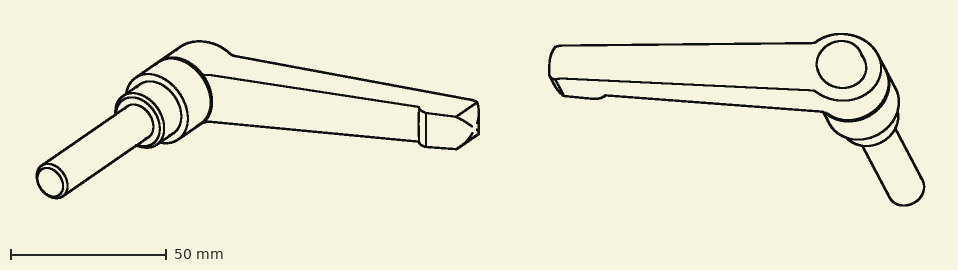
import cadquery as cq
import math


stud_radius = 6.0
stud_chamfer = 1.0
collar_radius = 9.5
collar_bottom = 50.0
collar_chamfer = 1.0
hub_diameter = 24.1
hub_radius = hub_diameter / 2
hub_bottom = 60.8
groove_bottom = 73.9
groove_width = 0.7
groove_depth = 0.1
button_radius = 7.5
button_top = 93.2
button_rounding = 0.8

top_angle = math.radians(15.9)
top_height_at_hub_edge = 85.2

overall_reach = 104.1
arm_root_x = 5.7
under_angle = math.radians(19.5)
notch_x = 75.5
notch_y = 99.3
heel_x = 79.6
heel_y = 97.3
notch_bulge = 0.5
top_end_x = 85.0
tip_start_x = 88.8
tip_end_x = overall_reach - hub_radius
tip_top_y = 113.4
tip_middle_y = 107.7
tip_bottom_y = 101.0
tip_shoulder_y = 113.0

root_width = 17.3
root_half_width = root_width / 2
tip_half_width = 5.9

ridge_depth = 0.5

root_fillet = 2.3

top_allowance = 6.8
match_tolerance = 0.01


def top_y(x):
    """Height of the sloping top at a given X."""
    return top_height_at_hub_edge + (x + hub_radius) * math.tan(top_angle)


def under_y(x):
    """Height of the arm's underside at a given X."""
    return notch_y - (notch_x - x) * math.tan(under_angle)


def turned(radius, bottom, top):
    """Cylinder on the clamping axis, with its seam on the side away from the arm."""
    cylinder = cq.Workplane("XZ", origin=(0, bottom, 0)).circle(radius).extrude(bottom - top)
    return cylinder.rotate((0, 0, 0), (0, 1, 0), 180)


def make_top_cut():
    """Block covering everything above the sloping top."""
    return (
        cq.Workplane("XY")
        .moveTo(-2 * hub_radius, top_y(-2 * hub_radius))
        .lineTo(top_end_x, top_y(top_end_x))
        .lineTo(top_end_x, top_y(top_end_x) + 2 * top_allowance)
        .lineTo(-2 * hub_radius, top_y(top_end_x) + 2 * top_allowance)
        .close()
        .extrude(2 * hub_radius, both=True)
    )


def make_ridge():
    """Triangular prism laid along the underside, from the root to the notch."""
    along = (math.cos(under_angle), math.sin(under_angle), 0)
    section = cq.Plane(
        origin=(arm_root_x, under_y(arm_root_x), 0), xDir=(0, 0, 1), normal=along
    )
    length = (notch_x - arm_root_x) / math.cos(under_angle)
    return (
        cq.Workplane(section)
        .moveTo(-root_half_width, -ridge_depth)
        .lineTo(-root_half_width, 0)
        .lineTo(0, ridge_depth)
        .lineTo(root_half_width, 0)
        .lineTo(root_half_width, -ridge_depth)
        .close()
        .extrude(length)
    )


def make_arm():
    """Arm outline with its ridge, trimmed to the tapering width."""
    notch_middle = ((notch_x + heel_x) / 2 - notch_bulge, (notch_y + heel_y) / 2 - notch_bulge)
    side_outline = (
        cq.Workplane("XY")
        .moveTo(arm_root_x, under_y(arm_root_x))
        .lineTo(notch_x, notch_y)
        .threePointArc(notch_middle, (heel_x, heel_y))
        .lineTo(tip_start_x, tip_bottom_y)
        .threePointArc((tip_end_x, tip_middle_y), (tip_start_x, tip_shoulder_y))
        .threePointArc(((top_end_x + tip_start_x) / 2, tip_top_y), (top_end_x, top_y(top_end_x)))
        .lineTo(top_end_x, top_y(top_end_x) + top_allowance / 2)
        .lineTo(arm_root_x, top_y(arm_root_x) + top_allowance / 2)
        .close()
        .extrude(root_half_width, both=True)
    )
    width_outline = (
        cq.Workplane("XZ")
        .moveTo(arm_root_x, -root_half_width)
        .lineTo(tip_start_x, -tip_half_width)
        .threePointArc((tip_end_x, 0), (tip_start_x, tip_half_width))
        .lineTo(arm_root_x, root_half_width)
        .close()
        .extrude(-2 * tip_top_y)
    )
    return side_outline.union(make_ridge()).intersect(width_outline)


def make_groove():
    """Ring removed where the lever part of the hub meets its sleeve."""
    groove_top = groove_bottom + groove_width
    outer = turned(2 * hub_radius, groove_bottom, groove_top)
    return outer.cut(turned(hub_radius - groove_depth, groove_bottom, groove_top))


def on_root(edge):
    """True for edges where the arm's sides and underside meet the hub."""
    points = [edge.positionAt(t) for t in (0, 0.5, 1)]
    radii = [math.hypot(p.x, p.z) for p in points]
    on_cylinder = all(math.isclose(r, hub_radius, abs_tol=match_tolerance) for r in radii)
    right_side = all(p.x > arm_root_x for p in points)
    below_hub_end = edge.Center().y < top_y(hub_radius)
    return on_cylinder and below_hub_end and right_side


hub = turned(hub_radius, hub_bottom, top_y(hub_radius) + top_allowance)
lever = hub.union(make_arm())
root_edges = [edge for edge in lever.edges().vals() if on_root(edge)]
lever = lever.newObject(root_edges).fillet(root_fillet).cut(make_top_cut()).cut(make_groove())

stud = turned(stud_radius, 0, hub_bottom).faces("<Y").chamfer(stud_chamfer)
collar = turned(collar_radius, collar_bottom, hub_bottom).faces("<Y").chamfer(collar_chamfer)
button = turned(button_radius, hub_bottom, button_top).faces(">Y").edges().fillet(button_rounding)

result = lever.union(collar).union(stud).union(button)